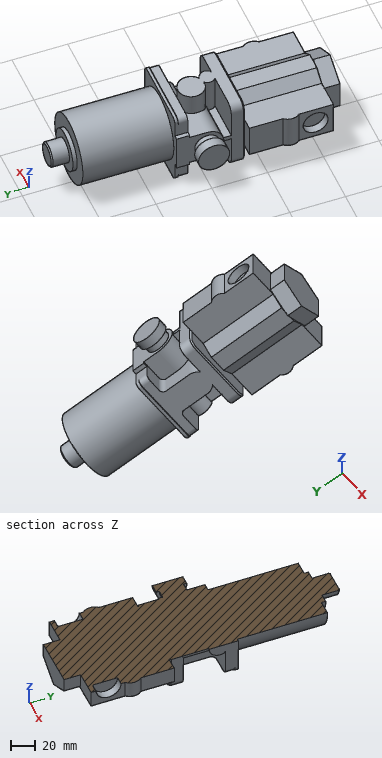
import cadquery as cq
import math


HEX_ACROSS_FLATS = 45.3
HEX_SIDES = 6
HEX_LENGTH = 15.0
BLOCK_END = 90.3
BLOCK_HALF_WIDTH = 45.3
BLOCK_HALF_HEIGHT = 15.7
RIDGE_HALF_HEIGHT = 24.0
RIDGE_TOP_HALF_WIDTH = 8.0
RIDGE_BASE_HALF_WIDTH = 19.0
BUMP_CENTER_Y = 53.0
BUMP_HALF_LENGTH = 7.0
BUMP_HEIGHT = 2.8
PORT_Y = 30.9
PORT_RADIUS = 11.1
PORT_DEPTH = 7.5

PLATE_END = 102.5
PLATE_HALF_WIDTH = 35.2
PLATE_HALF_HEIGHT = 35.0
PLATE_CORNER_RADIUS = 8.0
PLATE_CHAMFER = 1.3

WEB_HALF_THICKNESS = 2.0
BODY_HALF_WIDTH = 36.2
BODY_INNER_X = 2.3
BORE_Y = 124.5
BORE_HOUSING_RADIUS = 15.0
SIDE_HOUSING_Y = 135.4
SIDE_HOUSING_RADIUS = 9.9
BOSS_X = 0.3
BOSS_RADIUS = 12.0
SMALL_BOSS_X = 6.0
SMALL_BOSS_Y = 107.8
SMALL_BOSS_RADIUS = 6.8
FOOT_ROUND_Y = 111.0
FOOT_FILLET = 4.3

NECK_RADIUS = 11.1
KNOB_RADIUS = 14.0
KNOB_START_X = -43.0
KNOB_END_X = -51.9

FLANGE_START = 140.2
LIP_START = 148.8
FLANGE_END = 151.8
FLANGE_LEFT_X = -32.1
LIP_HALF_HEIGHT = 36.05
FLANGE_CORNER_RADIUS = 5.0
SLAB_HALF_HEIGHT = 17.2

COIL_X = 2.3
COIL_RADIUS = 32.0
COIL_END = 233.3
COLLAR_RADIUS = 19.0
COLLAR_END = 237.0
STEM_RADIUS = 11.1
STEM_CHAMFER = 1.3
TOTAL_LENGTH = 253.0


def box(x_range, y_range, z_range):
    """Box between two limits along each axis."""
    limits = (x_range, y_range, z_range)
    sizes = [high - low for low, high in limits]
    origin = tuple(low for low, high in limits)
    return cq.Workplane("XY").box(*sizes, centered=False).translate(origin)


def xz_plane(y):
    """XZ sketch plane at the given Y; extrusion goes toward +Y."""
    return cq.Workplane(cq.Plane(origin=(0, y, 0), xDir=(1, 0, 0), normal=(0, 1, 0)))


def cylinder_y(radius, x, y_start, y_end):
    return xz_plane(y_start).center(x, 0).circle(radius).extrude(y_end - y_start)


def cylinder_x(radius, y, x_start, x_end):
    return cq.Workplane("YZ", origin=(x_start, y, 0)).circle(radius).extrude(x_end - x_start)


def cylinder_z(radius, x, y, height):
    return cq.Workplane("XY").center(x, y).circle(radius).extrude(height)


def rounded_plate(x_range, y_range, half_height, corner_radius):
    plate = box(x_range, y_range, (-half_height, half_height))
    return plate.edges("|Y").fillet(corner_radius)


def hex_plug():
    """Hexagon with two flats facing -X and +X."""
    corner_diameter = HEX_ACROSS_FLATS / math.cos(math.pi / HEX_SIDES)
    plug = xz_plane(0).transformed(rotate=(0, 0, 90)).polygon(HEX_SIDES, corner_diameter)
    return plug.extrude(HEX_LENGTH)


def port_block():
    y_range = (HEX_LENGTH, BLOCK_END)
    block = box(
        (-BLOCK_HALF_WIDTH, BLOCK_HALF_WIDTH), y_range, (-BLOCK_HALF_HEIGHT, BLOCK_HALF_HEIGHT)
    )

    ridge_points = [
        (-RIDGE_BASE_HALF_WIDTH, BLOCK_HALF_HEIGHT),
        (-RIDGE_TOP_HALF_WIDTH, RIDGE_HALF_HEIGHT),
        (RIDGE_TOP_HALF_WIDTH, RIDGE_HALF_HEIGHT),
        (RIDGE_BASE_HALF_WIDTH, BLOCK_HALF_HEIGHT),
        (RIDGE_BASE_HALF_WIDTH, -BLOCK_HALF_HEIGHT),
        (RIDGE_TOP_HALF_WIDTH, -RIDGE_HALF_HEIGHT),
        (-RIDGE_TOP_HALF_WIDTH, -RIDGE_HALF_HEIGHT),
        (-RIDGE_BASE_HALF_WIDTH, -BLOCK_HALF_HEIGHT),
    ]
    ridge = xz_plane(HEX_LENGTH).polyline(ridge_points).close().extrude(BLOCK_END - HEX_LENGTH)
    block = block.union(ridge)

    for side in (-1, 1):
        face_x = side * BLOCK_HALF_WIDTH
        bump = (
            cq.Workplane("XY", origin=(0, 0, -BLOCK_HALF_HEIGHT))
            .moveTo(0, BUMP_CENTER_Y - BUMP_HALF_LENGTH)
            .lineTo(face_x, BUMP_CENTER_Y - BUMP_HALF_LENGTH)
            .threePointArc(
                (face_x + side * BUMP_HEIGHT, BUMP_CENTER_Y),
                (face_x, BUMP_CENTER_Y + BUMP_HALF_LENGTH),
            )
            .lineTo(0, BUMP_CENTER_Y + BUMP_HALF_LENGTH)
            .close()
            .extrude(2 * BLOCK_HALF_HEIGHT)
        )
        port = cylinder_x(PORT_RADIUS, PORT_Y, face_x, face_x - side * PORT_DEPTH)
        block = block.union(bump).cut(port)
    return block


def square_plate():
    plate = rounded_plate(
        (-PLATE_HALF_WIDTH, PLATE_HALF_WIDTH),
        (BLOCK_END, PLATE_END),
        PLATE_HALF_HEIGHT,
        PLATE_CORNER_RADIUS,
    )
    return plate.faces("<Y").chamfer(PLATE_CHAMFER)


def bottom_foot():
    """Straight-sided foot, rounded toward -Y and flared by fillets into the flange."""
    left = BOSS_X - BOSS_RADIUS
    right = BOSS_X + BOSS_RADIUS
    fillet_y = FLANGE_START - FOOT_FILLET
    diagonal = FOOT_FILLET * (1 - math.sqrt(0.5))
    return (
        cq.Workplane("XY")
        .moveTo(left, FOOT_ROUND_Y)
        .threePointArc((BOSS_X, FOOT_ROUND_Y - BOSS_RADIUS), (right, FOOT_ROUND_Y))
        .lineTo(right, fillet_y)
        .threePointArc(
            (right + diagonal, FLANGE_START - diagonal), (right + FOOT_FILLET, FLANGE_START)
        )
        .lineTo(left - FOOT_FILLET, FLANGE_START)
        .threePointArc((left - diagonal, FLANGE_START - diagonal), (left, fillet_y))
        .close()
        .extrude(-PLATE_HALF_HEIGHT)
    )


def valve_body():
    web = box(
        (-PLATE_HALF_WIDTH, PLATE_HALF_WIDTH),
        (PLATE_END, FLANGE_START),
        (-WEB_HALF_THICKNESS, WEB_HALF_THICKNESS),
    )
    bore_housing = cylinder_x(BORE_HOUSING_RADIUS, BORE_Y, -BODY_HALF_WIDTH, BODY_INNER_X)
    bore_shoulder = box(
        (-BODY_HALF_WIDTH, BODY_INNER_X),
        (BORE_Y, FLANGE_START),
        (-BORE_HOUSING_RADIUS, BORE_HOUSING_RADIUS),
    )
    side_housing = cylinder_x(SIDE_HOUSING_RADIUS, SIDE_HOUSING_Y, BODY_INNER_X, BODY_HALF_WIDTH)
    boss = cylinder_z(BOSS_RADIUS, BOSS_X, BORE_Y, PLATE_HALF_HEIGHT)
    small_boss = cylinder_z(SMALL_BOSS_RADIUS, SMALL_BOSS_X, SMALL_BOSS_Y, PLATE_HALF_HEIGHT)

    body = web
    for piece in (bore_housing, bore_shoulder, side_housing, boss, small_boss, bottom_foot()):
        body = body.union(piece)
    return body


def side_knob():
    neck = cylinder_x(NECK_RADIUS, BORE_Y, KNOB_START_X, -BODY_HALF_WIDTH)
    knob = cylinder_x(KNOB_RADIUS, BORE_Y, KNOB_END_X, KNOB_START_X)
    return neck.union(knob)


def flange():
    x_range = (FLANGE_LEFT_X, BODY_HALF_WIDTH)
    plate = rounded_plate(
        x_range, (FLANGE_START, FLANGE_END), PLATE_HALF_HEIGHT, FLANGE_CORNER_RADIUS
    )
    lip = rounded_plate(x_range, (LIP_START, FLANGE_END), LIP_HALF_HEIGHT, FLANGE_CORNER_RADIUS)
    slab = box(
        (-BODY_HALF_WIDTH, BODY_HALF_WIDTH),
        (FLANGE_START, FLANGE_END),
        (-SLAB_HALF_HEIGHT, SLAB_HALF_HEIGHT),
    )
    return plate.union(lip).union(slab)


def coil_and_stem():
    coil = cylinder_y(COIL_RADIUS, COIL_X, FLANGE_END, COIL_END)
    collar = cylinder_y(COLLAR_RADIUS, COIL_X, COIL_END, COLLAR_END)
    stem = cylinder_y(STEM_RADIUS, COIL_X, COLLAR_END, TOTAL_LENGTH)
    stem = stem.faces(">Y").chamfer(STEM_CHAMFER)
    return coil.union(collar).union(stem)


result = hex_plug()
for section in (
    port_block(),
    square_plate(),
    valve_body(),
    side_knob(),
    flange(),
    coil_and_stem(),
):
    result = result.union(section)